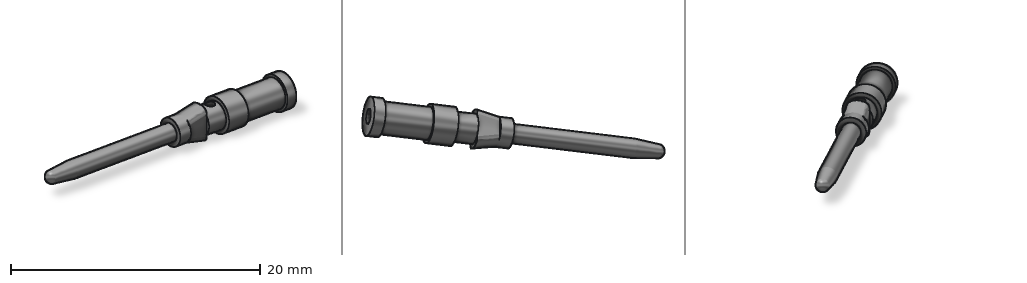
import cadquery as cq
import math

dome_height = 0.42
taper_start = 2.6
collar_front = 13.08
barb_front = 14.2
barb_back = 16.1
band_front = 17.9
band_back = 19.95
rim_front = 24.05
total_length = 25.0

tip_radius = 0.58
pin_radius = 0.8
neck_radius = 2.48 / 2
barrel_radius = 1.35
flange_radius = 1.6

barb_width = 1.9
barb_corner_radius = 0.5

bore_radius = 0.62
bore_bottom = 16.5
hole_radius = 0.42
hole_y = 17.22


def cylinder(radius, start, end):
    """Cylinder about the Y axis between two stations."""
    return cq.Workplane("XZ", origin=(0, end, 0)).circle(radius).extrude(end - start)


def pin():
    """Revolve the straight pin, its conical lead-in and its spherical tip."""
    sphere_radius = (tip_radius**2 + dome_height**2) / (2 * dome_height)
    half_angle = math.asin(tip_radius / sphere_radius) / 2
    dome_mid = (
        sphere_radius * math.sin(half_angle),
        sphere_radius * (1 - math.cos(half_angle)),
    )
    return (
        cq.Workplane("XY")
        .moveTo(0, 0)
        .threePointArc(dome_mid, (tip_radius, dome_height))
        .lineTo(pin_radius, taper_start)
        .lineTo(pin_radius, collar_front)
        .lineTo(0, collar_front)
        .close()
        .revolve(360, (0, 0, 0), (0, 1, 0))
    )


def barb():
    """Cone rising towards the rear, cut to a width and rounded along its corners."""
    length = barb_back - barb_front
    cone = cq.Workplane(
        cq.Solid.makeCone(
            neck_radius, flange_radius, length, cq.Vector(0, barb_front, 0), cq.Vector(0, 1, 0)
        )
    )
    slab = cq.Workplane("XY").box(barb_width, length, 2 * flange_radius)
    slab = slab.translate((0, (barb_front + barb_back) / 2, 0))
    flat_edges = cone.intersect(slab).faces("<X or >X").edges("not(<Y or >Y)")
    return flat_edges.fillet(barb_corner_radius)


def barrel():
    """Neck, locating band, crimp barrel and end rim."""
    return (
        cylinder(neck_radius, barb_back, band_front)
        .union(cylinder(flange_radius, band_front, band_back))
        .union(cylinder(barrel_radius, band_back, rim_front))
        .union(cylinder(flange_radius, rim_front, total_length))
    )


def inspection_hole():
    """Vertical hole through the upper wall of the bore."""
    return cq.Workplane("XY").center(0, hole_y).circle(hole_radius).extrude(flange_radius)


collar = cylinder(neck_radius, collar_front, barb_front)
bore = cylinder(bore_radius, bore_bottom, total_length)

body = pin().union(collar).union(barb()).union(barrel())
result = body.cut(bore).cut(inspection_hole())